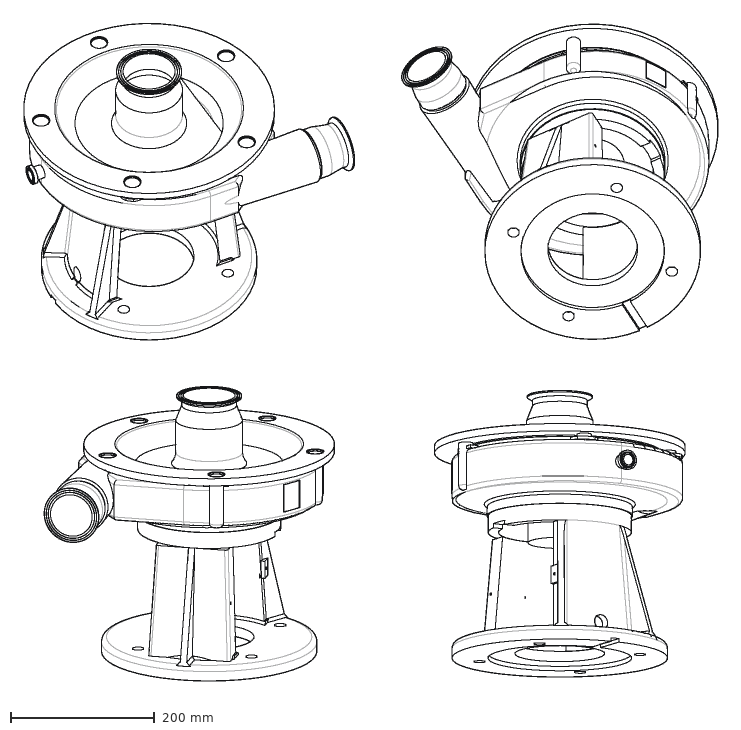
import cadquery as cq
import math

BASE_R = 150.0
BASE_H = 21.0
BASE_EDGE_FILLET = 7.0
BASE_BORE_R = 62.5
BASE_RECESS_R = 100.0
BASE_RECESS_DEPTH = 6.2
BOLT_COUNT = 4
BOLT_HOLE_R = 8.0
BOLT_CIRCLE_R = 115.2
DRAIN_NOTCH_W = 12.5
DRAIN_NOTCH_H = 5.0

RING_Z = 177.5
RING_R = 100.0
RING_LIP_Z = 201.0
RING_LIP_R = 101.0
RING_TOP_Z = 214.0
RING_ROOT_Z = 226.5
RING_BORE_R = 85.3
RING_BORE_TOP_Z = 208.0
SEAL_HOUSING_R = 44.0
SEAL_HOUSING_Z = 163.0
RING_NOTCH_W = 30.0
RING_NOTCH_H = 6.0
NOTCH_REACH = 104.0

LEG_FOOT_Z = BASE_H - 4.0
LEG_THICKNESS = 13.7
LEG_SPREAD = 14.0
LEG_HALF_W_TOP = 51.5
LEG_HALF_W_FOOT = 59.0
RIB_ANGLE = 30.0
RIB_T = 9.0
RIB_FOOT_R = 148.0
RIB_ROOT_X = 48.0
RIB_ROOT_Y = -95.3
FOOT_FLARE = 4.0
FOOT_SINK = 1.2
LEG_FILLET = 4.0
LEG_HOLE_R = 10.5
LEG_HOLE_Z = 33.5
SENSOR_Z = 100.3
SENSOR_HOLE_R = 1.5
SENSOR_PAD_W = 17.5
SENSOR_PAD_H = 25.0
SENSOR_PAD_X = -56.5
SENSOR_PAD_X_DEPTH = 7.5
SENSOR_PAD_Y = -86.0
REAR_HOLE_Y = 95.3

CASING_Z = 222.0
CASING_TOP_Z = 280.5
CASING_NORTH = 144.8
CASING_WEST_R = 156.5
CASING_EAST = 174.7
CUTWATER_X = 100.0
CASING_FILLET = 6.0
CASING_STRAIGHT_Y = 50.0
BELLY_R = 149.8
BELLY_INNER_R = 105.2
BELLY_Z = 217.5
COVER_R = 139.5
COVER_LIP_R = 142.3
COVER_LIP_T = 1.5

LABEL_W = 31.5
LABEL_H = 39.5
LABEL_DEPTH = 4.0
LABEL_PROUD = 0.5
LABEL_Z = 253.0
LABEL_ANGLE = 30.0

PLATE_Z = 290.0
PLATE_TOP_Z = 300.5
PLATE_R = 174.7
DISH_RIM_R = 131.5
DISH_TOP_R = 129.0
DISH_FLOOR_R = 103.0
DISH_FLOOR_Z = 272.5
DISH_RIM_CHAMFER = 2.0
POCKET_CHORD_Y = 81.5
POCKET_DEPTH = 12.5
POCKET_FILLET = 12.0
STUD_CIRCLE_R = 152.3
STUD_R = 10.0
STUD_Z = 224.0
STUD_COUNT = 5
STUD_PAD_R = 19.0
STUD_PAD_H = 4.0
STUD_RECESS_R = 11.2
STUD_RECESS_RIM_R = 12.0
STUD_RECESS_DEPTH = 3.0

CLAMP_RIM = 2.0
CLAMP_TAPER = 4.0
GASKET_MARGIN = 3.0
GASKET_W = 3.0
GASKET_DEPTH = 1.2

SUCTION_TOP_Z = 370.5
SUCTION_R = 46.5
SUCTION_NECK_R = 38.3
SUCTION_FLANGE_R = 45.5
SUCTION_BORE_R = 36.0
SUCTION_BORE_Z = 237.0
SUCTION_ROOT_R = 52.5
SUCTION_FLARE_H = 16.0
SUCTION_WIDE_BORE_R = 43.5
SUCTION_BORE_STEP_Z = 341.0
SUCTION_WIDE_BORE_Z = 323.2
SUCTION_SHOULDER_Z = 335.0
SUCTION_NECK_Z = 356.5

DISCHARGE_X = 139.8
DISCHARGE_Z = 251.3
DISCHARGE_END_Y = 230.0
DISCHARGE_BODY_Y = 176.5
DISCHARGE_REDUCER_Y = 180.5
DISCHARGE_SHOULDER_Y = 196.0
DISCHARGE_NECK_Y = 216.5
DISCHARGE_R = 39.0
DISCHARGE_SMALL_R = 34.0
DISCHARGE_NECK_R = 32.5
DISCHARGE_TAIL_R = 36.0
DISCHARGE_BORE_R = 30.0

NOZZLE_END_Y = -186.0
NOZZLE_Z = 252.0
NOZZLE_R = 9.5
NOZZLE_FLANGE_R = 13.5
NOZZLE_FLANGE_T = 5.5
NOZZLE_BORE_R = 7.5
NOZZLE_GROOVE_R = 9.5


def disc(radius, z_low, z_high):
    return cq.Workplane("XY").workplane(offset=z_low).circle(radius).extrude(z_high - z_low)


def revolve_z(points):
    """Turn an (r, z) outline about the Z axis."""
    return cq.Workplane("XZ").polyline(points).close().revolve(360, (0, 0, 0), (0, 1, 0))


def revolve_y(points, x, z):
    """Turn an (r, y) outline about the line parallel to Y through (x, z)."""
    body = cq.Workplane("XY").polyline(points).close().revolve(360, (0, 0, 0), (0, 1, 0))
    return body.translate((x, 0, z))


def lean_at(z):
    """Outward shift of a leg at height z; zero at the ring underside."""
    return LEG_SPREAD * (RING_Z - z) / (RING_Z - BASE_H)


def make_base():
    base = disc(BASE_R, 0, BASE_H).faces(">Z").edges().fillet(BASE_EDGE_FILLET)
    base = base.cut(disc(BASE_BORE_R, 0, BASE_H)).cut(disc(BASE_RECESS_R, 0, BASE_RECESS_DEPTH))
    holes = (
        cq.Workplane("XY").polarArray(BOLT_CIRCLE_R, 180 / BOLT_COUNT, 360, BOLT_COUNT)
        .circle(BOLT_HOLE_R).extrude(BASE_H)
    )
    notch = cq.Workplane("XY").box(DRAIN_NOTCH_W, BASE_R, DRAIN_NOTCH_H, centered=(True, False, False))
    return base.cut(holes).cut(notch.translate((0, -BASE_R, 0)))


def make_ring():
    ring = revolve_z([
        (0, RING_BORE_TOP_Z), (RING_BORE_R, RING_BORE_TOP_Z), (RING_BORE_R, RING_Z), (RING_R, RING_Z),
        (RING_R, RING_LIP_Z), (RING_LIP_R, RING_LIP_Z), (RING_LIP_R, RING_ROOT_Z), (0, RING_ROOT_Z),
    ])
    notch = cq.Workplane("XY").box(NOTCH_REACH, RING_NOTCH_W, RING_NOTCH_H, centered=(False, True, False))
    ring = ring.cut(notch.translate((-NOTCH_REACH, 0, RING_Z)))
    return ring.union(disc(SEAL_HOUSING_R, SEAL_HOUSING_Z, RING_TOP_Z))


def leg_shell():
    """Full conical shell from which the -Y leg is cut."""
    r_top = RING_R
    r_foot = RING_R + lean_at(LEG_FOOT_Z)
    return revolve_z([
        (r_top - LEG_THICKNESS, RING_Z), (r_top, RING_Z),
        (r_foot, LEG_FOOT_Z), (r_foot - LEG_THICKNESS, LEG_FOOT_Z),
    ])


def leg_wedge(side):
    """Tapered block over one leg (side = +1 for the +Y leg, -1 for the -Y leg)."""
    outline = [
        (-LEG_HALF_W_TOP, RING_Z), (LEG_HALF_W_TOP, RING_Z),
        (LEG_HALF_W_FOOT, LEG_FOOT_Z), (-LEG_HALF_W_FOOT, LEG_FOOT_Z),
    ]
    return cq.Workplane("XZ").polyline(outline).close().extrude(-side * BASE_R)


def rib_envelope(thickness):
    """Triangular radial plate along the +X axis."""
    r_inner = RING_R - LEG_THICKNESS / 2
    outline = [
        (r_inner, RING_Z), (RING_R, RING_Z), (RIB_FOOT_R, LEG_FOOT_Z), (r_inner + LEG_SPREAD, LEG_FOOT_Z),
    ]
    return cq.Workplane("XZ").polyline(outline).close().extrude(thickness / 2, both=True)


def rib(angle):
    """Rib turned by angle about Z from the +X axis."""
    return rib_envelope(RIB_T).rotate((0, 0, 0), (0, 0, 1), angle)


def corner_fillet(leg, x, y):
    """Round the long edge of a leg that passes nearest to (x, y) at half height."""
    middle = (x, y, (BASE_H + RING_Z) / 2)
    return leg.edges(cq.selectors.NearestToPointSelector(middle)).fillet(LEG_FILLET)


def foot_pad(side):
    """Flared foot of a leg panel on the base."""
    r_outer = RING_R + LEG_SPREAD
    r_inner = r_outer - LEG_THICKNESS
    top = BASE_H + FOOT_FLARE
    low = BASE_H - FOOT_SINK
    flare = FOOT_FLARE + FOOT_SINK
    pad = revolve_z([(r_inner, top), (r_outer, top), (r_outer + flare, low), (r_inner - flare, low)])
    width = 2 * (LEG_HALF_W_FOOT + FOOT_FLARE / 2)
    keep = cq.Workplane("XY").box(width, BASE_R, 4 * BASE_H)
    return pad.intersect(keep.translate((0, side * BASE_R / 2, 0)))


def rib_foot(angle):
    """Flared foot along both flanks of a rib."""
    top = BASE_H + FOOT_FLARE
    low = BASE_H - FOOT_SINK
    half_top = RIB_T / 2
    half_low = half_top + FOOT_FLARE + FOOT_SINK
    outline = [(-half_top, top), (half_top, top), (half_low, low), (-half_low, low)]
    foot = cq.Workplane("YZ").polyline(outline).close().extrude(RIB_FOOT_R - RING_R).translate((RING_R, 0, 0))
    return foot.intersect(rib_envelope(2 * half_low)).rotate((0, 0, 0), (0, 0, 1), angle)


def make_front_leg():
    """Curved -Y leg with a radial rib at each end and a drain hole at its foot."""
    leg = leg_shell().intersect(leg_wedge(-1))
    angles = (-90 - RIB_ANGLE, -90 + RIB_ANGLE)
    for angle in angles:
        leg = leg.union(rib(angle))
    for x in (-RIB_ROOT_X, RIB_ROOT_X):
        leg = corner_fillet(leg, x, RIB_ROOT_Y)
    leg = leg.union(foot_pad(-1))
    for angle in angles:
        leg = leg.union(rib_foot(angle))
    hole = cq.Workplane("XZ").center(0, LEG_HOLE_Z).circle(LEG_HOLE_R).extrude(BASE_R)
    groove = cq.Workplane("XY").box(DRAIN_NOTCH_W, BASE_R, FOOT_FLARE, centered=(True, False, False))
    groove = groove.translate((0, -BASE_R - RING_R - LEG_SPREAD, BASE_H))
    return leg.cut(hole).cut(groove)


def make_rear_leg():
    """Thick +Y leg: concave inner face, flat leaning outer face, one rib on its centre line."""
    y_top = RING_R
    y_foot = RING_R + lean_at(LEG_FOOT_Z)
    side_outline = [(0, RING_Z), (y_top, RING_Z), (y_foot, LEG_FOOT_Z), (0, LEG_FOOT_Z)]
    block = cq.Workplane("YZ").polyline(side_outline).close().extrude(BASE_R, both=True)
    inner_r_top = RING_R - LEG_THICKNESS
    inner_r_foot = inner_r_top + lean_at(LEG_FOOT_Z)
    hollow = revolve_z([(0, RING_Z), (inner_r_top, RING_Z), (inner_r_foot, LEG_FOOT_Z), (0, LEG_FOOT_Z)])
    leg = block.intersect(leg_wedge(1))
    leg = leg.cut(hollow).union(rib(90))
    half_width = (LEG_HALF_W_TOP + LEG_HALF_W_FOOT) / 2
    for x in (-half_width, half_width):
        leg = corner_fillet(leg, x, RING_R + LEG_SPREAD / 2)
    leg = leg.union(foot_pad(1)).union(rib_foot(90))
    hole = cq.Workplane("YZ").center(REAR_HOLE_Y, SENSOR_Z).circle(SENSOR_HOLE_R).extrude(-BASE_R)
    return leg.cut(hole)


def make_sensor_pad():
    """Square pad with a small blind hole on the -X end of the -Y leg."""
    pad = cq.Workplane("XY").box(SENSOR_PAD_X_DEPTH, SENSOR_PAD_W, SENSOR_PAD_H)
    hole = cq.Workplane("YZ").circle(SENSOR_HOLE_R).extrude(SENSOR_PAD_X_DEPTH, both=True)
    return pad.cut(hole).translate((SENSOR_PAD_X, SENSOR_PAD_Y, SENSOR_Z))


def casing_prism(z_low, z_high):
    """Volute outline: half turn from +Y to -Y, quarter turn to +X, straight run to the discharge."""
    west_y = CASING_NORTH - CASING_WEST_R
    south_y = west_y - CASING_WEST_R
    east_y = south_y + CASING_EAST
    diagonal = CASING_EAST * math.sqrt(0.5)
    outline = (
        cq.Workplane("XY").workplane(offset=z_low).moveTo(0, CASING_NORTH)
        .threePointArc((-CASING_WEST_R, west_y), (0, south_y))
        .threePointArc((diagonal, east_y - diagonal), (CASING_EAST, east_y))
        .lineTo(CASING_EAST, CASING_STRAIGHT_Y).lineTo(CUTWATER_X, CASING_NORTH).close()
    )
    return outline.extrude(z_high - z_low)


def make_casing():
    """Rounded volute with a conical belly below and the cover disc above."""
    casing = casing_prism(CASING_Z, CASING_TOP_Z).faces("<Z or >Z").edges().fillet(CASING_FILLET)
    belly = revolve_z([
        (0, CASING_Z), (BELLY_R, CASING_Z), (BELLY_INNER_R, BELLY_Z), (RING_LIP_R, RING_TOP_Z),
        (0, RING_TOP_Z),
    ])
    cover = disc(COVER_R, CASING_TOP_Z, PLATE_Z).union(disc(COVER_LIP_R, PLATE_Z - COVER_LIP_T, PLATE_Z))
    return casing.union(belly).union(cover)


def stud_places():
    step = 360 / STUD_COUNT
    for i in range(STUD_COUNT):
        angle = math.radians(180 + i * step)
        yield (STUD_CIRCLE_R * math.cos(angle), STUD_CIRCLE_R * math.sin(angle))


def make_studs():
    """Stud columns under the plate, each with a low pad on the casing."""
    places = list(stud_places())
    studs = (
        cq.Workplane("XY").workplane(offset=STUD_Z).pushPoints(places).circle(STUD_R)
        .extrude(PLATE_Z - STUD_Z).faces("<Z").edges().fillet(CASING_FILLET)
    )
    pads = (
        cq.Workplane("XY").workplane(offset=CASING_TOP_Z).pushPoints(places).circle(STUD_PAD_R)
        .extrude(STUD_PAD_H)
    )
    inset = casing_prism(CASING_TOP_Z, CASING_TOP_Z + STUD_PAD_H)
    return studs.union(pads.intersect(inset))


def make_label_pad():
    """Thin flat rectangle on the -X half of the casing."""
    pad = cq.Workplane("XY").box(LABEL_DEPTH, LABEL_W, LABEL_H)
    pad = pad.translate((-CASING_WEST_R + LABEL_DEPTH / 2 - LABEL_PROUD, 0, LABEL_Z))
    pad = pad.rotate((0, 0, 0), (0, 0, 1), -LABEL_ANGLE)
    return pad.translate((0, CASING_NORTH - CASING_WEST_R, 0))


def dish_cutter():
    """Conical dish in the plate, with a deeper rounded pocket beyond a chord of its floor."""
    dish = revolve_z([
        (0, DISH_FLOOR_Z), (DISH_FLOOR_R, DISH_FLOOR_Z), (DISH_TOP_R, PLATE_TOP_Z - DISH_RIM_CHAMFER),
        (DISH_RIM_R, PLATE_TOP_Z), (0, PLATE_TOP_Z),
    ])
    pocket = disc(DISH_FLOOR_R, DISH_FLOOR_Z - POCKET_DEPTH, DISH_FLOOR_Z)
    pocket = pocket.faces("<Z").edges().fillet(POCKET_FILLET)
    beyond = cq.Workplane("XY").box(2 * PLATE_R, PLATE_R, 2 * PLATE_TOP_Z, centered=(True, False, True))
    return dish.union(pocket.intersect(beyond.translate((0, POCKET_CHORD_Y, 0))))


def stud_recess_cutters():
    floor_z = PLATE_TOP_Z - STUD_RECESS_DEPTH
    rim = STUD_RECESS_RIM_R - STUD_RECESS_R
    recess = revolve_z([
        (0, floor_z), (STUD_RECESS_R, floor_z), (STUD_RECESS_R, PLATE_TOP_Z - rim),
        (STUD_RECESS_RIM_R, PLATE_TOP_Z), (0, PLATE_TOP_Z),
    ])
    return [recess.translate((x, y, 0)) for x, y in stud_places()]


def make_suction_pipe():
    """Pipe with a shoulder, a neck and a clamp flange, flared where it meets the dish floor."""
    flare_w = SUCTION_ROOT_R - SUCTION_R
    flare_r = (flare_w**2 + SUCTION_FLARE_H**2) / (2 * flare_w)
    flange_root = SUCTION_TOP_Z - CLAMP_RIM - CLAMP_TAPER
    outline = (
        cq.Workplane("XZ").moveTo(0, DISH_FLOOR_Z).lineTo(SUCTION_ROOT_R, DISH_FLOOR_Z)
        .radiusArc((SUCTION_R, DISH_FLOOR_Z + SUCTION_FLARE_H), flare_r)
        .lineTo(SUCTION_R, SUCTION_SHOULDER_Z).lineTo(SUCTION_NECK_R, SUCTION_NECK_Z)
        .lineTo(SUCTION_NECK_R, flange_root)
        .lineTo(SUCTION_FLANGE_R, SUCTION_TOP_Z - CLAMP_RIM)
        .lineTo(SUCTION_FLANGE_R, SUCTION_TOP_Z).lineTo(0, SUCTION_TOP_Z).close()
    )
    return outline.revolve(360, (0, 0, 0), (0, 1, 0))


def make_discharge_pipe():
    """Tapered casing outlet followed by a reducer with a neck and a clamp flange."""
    rim_y = DISCHARGE_END_Y - CLAMP_RIM
    return revolve_y([
        (0, 0), (DISCHARGE_SMALL_R, 0), (DISCHARGE_R, DISCHARGE_BODY_Y),
        (DISCHARGE_SMALL_R, DISCHARGE_BODY_Y), (DISCHARGE_SMALL_R, DISCHARGE_REDUCER_Y),
        (DISCHARGE_TAIL_R, DISCHARGE_REDUCER_Y), (DISCHARGE_TAIL_R, DISCHARGE_SHOULDER_Y),
        (DISCHARGE_NECK_R, DISCHARGE_NECK_Y), (DISCHARGE_NECK_R, rim_y - CLAMP_TAPER),
        (DISCHARGE_R, rim_y), (DISCHARGE_R, DISCHARGE_END_Y), (0, DISCHARGE_END_Y),
    ], DISCHARGE_X, DISCHARGE_Z)


def make_nozzle():
    flange_y = NOZZLE_END_Y + NOZZLE_FLANGE_T
    return revolve_y([
        (0, -CASING_NORTH), (NOZZLE_R, -CASING_NORTH), (NOZZLE_R, flange_y + CLAMP_RIM / 2),
        (NOZZLE_FLANGE_R, flange_y), (NOZZLE_FLANGE_R, NOZZLE_END_Y), (0, NOZZLE_END_Y),
    ], 0, NOZZLE_Z)


def bore_cutters():
    suction = revolve_z([
        (0, SUCTION_BORE_Z), (SUCTION_WIDE_BORE_R, SUCTION_BORE_Z),
        (SUCTION_WIDE_BORE_R, SUCTION_WIDE_BORE_Z),
        (SUCTION_BORE_R, SUCTION_BORE_STEP_Z), (SUCTION_BORE_R, SUCTION_TOP_Z), (0, SUCTION_TOP_Z),
    ])
    discharge = revolve_y([
        (0, 0), (DISCHARGE_BORE_R, 0), (DISCHARGE_BORE_R, DISCHARGE_END_Y), (0, DISCHARGE_END_Y),
    ], DISCHARGE_X, DISCHARGE_Z)
    drain = revolve_y([
        (0, -CASING_NORTH), (NOZZLE_BORE_R, -CASING_NORTH), (NOZZLE_BORE_R, NOZZLE_END_Y),
        (0, NOZZLE_END_Y),
    ], 0, NOZZLE_Z)
    return [suction, discharge, drain]


def gasket_groove_cutters():
    """Ring grooves in the end faces of the three clamp flanges."""
    depth = GASKET_DEPTH
    suction_z = SUCTION_TOP_Z - depth
    suction = disc(SUCTION_FLANGE_R - GASKET_MARGIN, suction_z, SUCTION_TOP_Z)
    suction = suction.cut(disc(SUCTION_FLANGE_R - GASKET_MARGIN - GASKET_W, suction_z, SUCTION_TOP_Z))
    r_out = DISCHARGE_R - GASKET_MARGIN
    y_in = DISCHARGE_END_Y - depth
    discharge = revolve_y([
        (r_out - GASKET_W, y_in), (r_out, y_in),
        (r_out, DISCHARGE_END_Y), (r_out - GASKET_W, DISCHARGE_END_Y),
    ], DISCHARGE_X, DISCHARGE_Z)
    y_in = NOZZLE_END_Y + depth
    drain = revolve_y([
        (NOZZLE_GROOVE_R, y_in), (NOZZLE_GROOVE_R + GASKET_W / 2, y_in),
        (NOZZLE_GROOVE_R + GASKET_W / 2, NOZZLE_END_Y), (NOZZLE_GROOVE_R, NOZZLE_END_Y),
    ], 0, NOZZLE_Z)
    return [suction, discharge, drain]


def build_pump():
    pump = make_base()
    for part in (
        make_ring(), make_front_leg(), make_rear_leg(), make_sensor_pad(), make_casing(),
        make_discharge_pipe(), make_nozzle(), make_label_pad(), make_studs(),
        disc(PLATE_R, PLATE_Z, PLATE_TOP_Z),
    ):
        pump = pump.union(part)
    pump = pump.cut(dish_cutter()).union(make_suction_pipe())
    for cutter in stud_recess_cutters() + bore_cutters() + gasket_groove_cutters():
        pump = pump.cut(cutter)
    return pump


result = build_pump()